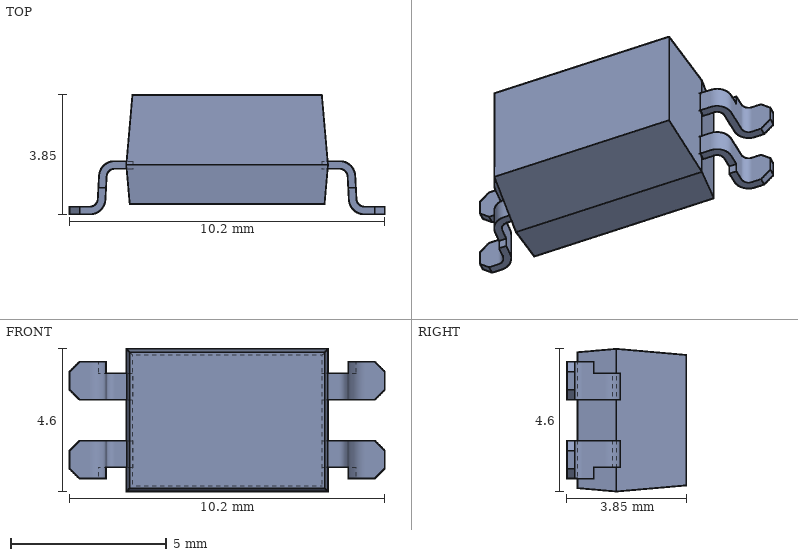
import cadquery as cq
import math


body_length = 6.5
body_width = 4.6
cover_height = 2.26
base_height = 1.26
draft_angle = 5.0

lead_span = 10.16
overall_height = 3.85
lead_pitch = 2.54
lead_thickness = 0.25
foot_width = 1.23
shank_width = 0.86
inner_bend_radius = 0.25
outer_bend_radius = inner_bend_radius + lead_thickness
leg_x = 4.02
step_y = -0.73
leg_tilt = 3.0
tip_chamfer = 0.33
embed_depth = 0.2

shank_top = lead_thickness / 2
shank_bottom = -lead_thickness / 2
foot_bottom = cover_height - overall_height
foot_top = foot_bottom + lead_thickness
tip_x = lead_span / 2
root_x = body_length / 2 - embed_depth
lead_inner_z = (lead_pitch - foot_width) / 2


def make_housing_half(height):
    """Drafted block rising from the parting plane; a negative height goes towards -Y."""
    return (
        cq.Workplane("XZ")
        .rect(body_length, body_width)
        .extrude(-height, taper=draft_angle)
    )


def leg_face_x(y, side):
    """X of the tilted leg's outward (side = 1) or inward (side = -1) face at height y."""
    tilt = math.radians(leg_tilt)
    middle = leg_x - (y - step_y) * math.tan(tilt)
    return middle + side * lead_thickness / 2 / math.cos(tilt)


def make_lead():
    """Lead at +X, +Z: a bent strip, narrowed above the step, with a chamfered tip."""
    shoulder_outer = (leg_face_x(shank_top, 1), shank_top)
    shoulder_inner = (leg_face_x(shank_bottom, -1), shank_bottom)
    heel_inner = (leg_face_x(foot_top, 1), foot_top)
    heel_outer = (leg_face_x(foot_bottom, -1), foot_bottom)

    strip = (
        cq.Workplane("XY", origin=(0, 0, lead_inner_z))
        .polyline([
            (root_x, shank_top),
            shoulder_outer,
            heel_inner,
            (tip_x, foot_top),
            (tip_x, foot_bottom),
            heel_outer,
            shoulder_inner,
            (root_x, shank_bottom),
        ])
        .close()
        .extrude(foot_width)
    )

    middle_z = lead_inner_z + foot_width / 2
    for corner, radius in [
        (shoulder_outer, outer_bend_radius),
        (shoulder_inner, inner_bend_radius),
        (heel_inner, inner_bend_radius),
        (heel_outer, outer_bend_radius),
    ]:
        bend_edge = cq.selectors.NearestToPointSelector((*corner, middle_z))
        strip = strip.edges("|Z").edges(bend_edge).fillet(radius)

    shank_relief = cq.Workplane("XY").box(
        tip_x - root_x,
        shank_top - step_y,
        foot_width - shank_width,
        centered=False,
    ).translate((root_x, step_y, lead_inner_z + shank_width))
    strip = strip.cut(shank_relief)

    return strip.faces(">X").edges("|Y").chamfer(tip_chamfer)


lead = make_lead()
leads = []
for row in (lead, lead.mirror("YZ")):
    for placed_lead in (row, row.mirror("XY")):
        leads.append(placed_lead)

cover = make_housing_half(cover_height)
base = make_housing_half(-base_height)
for placed_lead in leads:
    cover = cover.cut(placed_lead)
    base = base.cut(placed_lead)

result = cq.Compound.makeCompound([
    cover.solids().val(),
    base.solids().val(),
    *[placed_lead.solids().val() for placed_lead in leads],
])